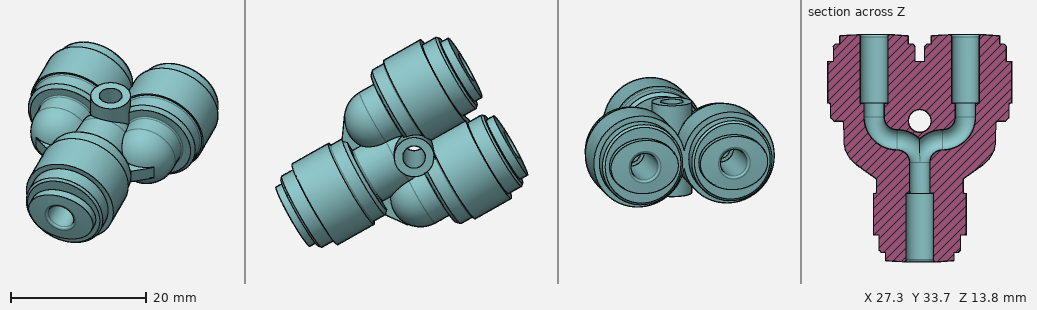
import cadquery as cq
import math


total_length = 33.7
collar_dia = 13.8
outlet_spacing = 13.5
outlet_x = outlet_spacing / 2
tip_y = total_length / 2
elbow_y = 1.25

ring_end = 1.4
cap_end = 3.98
collar_end = 10.18
neck_end = 12.87
cap_chamfer = 0.35
neck_chamfer = 0.55
root_fillet = 0.2

cap_dia = 12.13
neck_dia = 12.95
stem_dia = 9.05
cap_r = cap_dia / 2
collar_r = collar_dia / 2
neck_r = neck_dia / 2
stem_r = stem_dia / 2

ring_width = 10.18
ring_height = 8.05
ring_crown = 0.2

socket_dia = 4.05
socket_depth = collar_end
mouth_round = 0.37
passage_dia = 2.95
socket_r = socket_dia / 2
socket_mouth_r = socket_r + mouth_round

boss_dia = 5.9
boss_hole_dia = 3.35
boss_y = 4.05
web_thickness = 2.05


def place_port(shape, x, facing):
    """Move a shape built along +Z (tip at Z = 0, body above) onto a port axis."""
    angle = 90 if facing > 0 else -90
    return shape.rotate((0, 0, 0), (1, 0, 0), angle).translate((x, facing * tip_y, 0))


def revolve_about_z(outline):
    """Revolve a closed outline drawn in (radius, Z) about the Z axis."""
    return outline.revolve(360, (0, 0), (0, 1))


def port_body(stem_length):
    """Cap, collar, neck and stem with a ball end, plus the oval release ring."""
    outline = (
        cq.Workplane("XZ")
        .moveTo(0, ring_end)
        .lineTo(cap_r - cap_chamfer, ring_end)
        .lineTo(cap_r, ring_end + cap_chamfer)
        .lineTo(cap_r, cap_end)
        .lineTo(collar_r, cap_end)
        .lineTo(collar_r, collar_end)
        .lineTo(neck_r + root_fillet, collar_end)
        .radiusArc((neck_r, collar_end + root_fillet), root_fillet)
        .lineTo(neck_r, neck_end - neck_chamfer)
        .lineTo(neck_r - neck_chamfer, neck_end)
        .lineTo(stem_r + root_fillet, neck_end)
        .radiusArc((stem_r, neck_end + root_fillet), root_fillet)
        .lineTo(stem_r, stem_length)
        .lineTo(0, stem_length)
        .close()
    )
    turned = revolve_about_z(outline)
    ball = cq.Workplane("XY").sphere(stem_r).translate((0, 0, stem_length))

    ring = cq.Workplane("XY").ellipse(ring_width / 2, ring_height / 2).extrude(cap_end)
    crown_outline = (
        cq.Workplane("XZ")
        .lineTo(socket_mouth_r, 0)
        .lineTo(ring_width / 2, ring_crown)
        .lineTo(ring_width / 2, cap_end)
        .lineTo(0, cap_end)
        .close()
    )
    crown = revolve_about_z(crown_outline)
    return turned.union(ball).union(ring.intersect(crown))


def socket():
    """Blind tube socket with a rounded mouth."""
    outline = (
        cq.Workplane("XZ")
        .lineTo(socket_mouth_r, 0)
        .radiusArc((socket_r, mouth_round), mouth_round)
        .lineTo(socket_r, socket_depth)
        .lineTo(0, socket_depth)
        .close()
    )
    return revolve_about_z(outline)


def branch_passage(side):
    """S-shaped passage from the inlet socket to the outlet socket on one side."""
    bend_r = outlet_x / 2
    quarter = bend_r * math.sin(math.radians(45))
    start = (0, -tip_y + socket_depth)
    bend_in = (0, elbow_y - bend_r)
    middle = (side * bend_r, elbow_y)
    bend_out = (side * outlet_x, elbow_y + bend_r)
    end = (side * outlet_x, tip_y - socket_depth)
    in_mid = (side * (bend_r - quarter), elbow_y - bend_r + quarter)
    out_mid = (side * (bend_r + quarter), elbow_y + bend_r - quarter)
    path = (
        cq.Workplane("XY")
        .moveTo(*start)
        .lineTo(*bend_in)
        .threePointArc(in_mid, middle)
        .threePointArc(out_mid, bend_out)
        .lineTo(*end)
    )
    profile = cq.Workplane("XZ", origin=(0, start[1], 0)).circle(passage_dia / 2)
    return profile.sweep(path)


def web():
    """Flat web whose slanted edges run from the neck tangent to the elbow balls."""
    corner = (neck_r, -tip_y + neck_end - neck_chamfer)
    dx = corner[0] - outlet_x
    dy = corner[1] - elbow_y
    tangent_angle = math.atan2(dy, dx) + math.acos(stem_r / math.hypot(dx, dy))
    tangent = (
        outlet_x + stem_r * math.cos(tangent_angle),
        elbow_y + stem_r * math.sin(tangent_angle),
    )
    right_side = [corner, tangent, (outlet_x, elbow_y)]
    left_side = [(-x, y) for x, y in reversed(right_side)]
    return (
        cq.Workplane("XY")
        .polyline(right_side + left_side)
        .close()
        .extrude(web_thickness / 2, both=True)
    )


def boss_cylinder(diameter):
    """Full-height cylinder on the boss axis."""
    return (
        cq.Workplane("XY")
        .center(0, boss_y)
        .circle(diameter / 2)
        .extrude(collar_dia / 2, both=True)
    )


ports = [(0, -1), (-outlet_x, 1), (outlet_x, 1)]

result = web().union(boss_cylinder(boss_dia))
for port_x, facing in ports:
    stem_length = tip_y - facing * elbow_y
    result = result.union(place_port(port_body(stem_length), port_x, facing))

for port_x, facing in ports:
    result = result.cut(place_port(socket(), port_x, facing))
for side in (-1, 1):
    result = result.cut(branch_passage(side))
result = result.cut(boss_cylinder(boss_hole_dia))